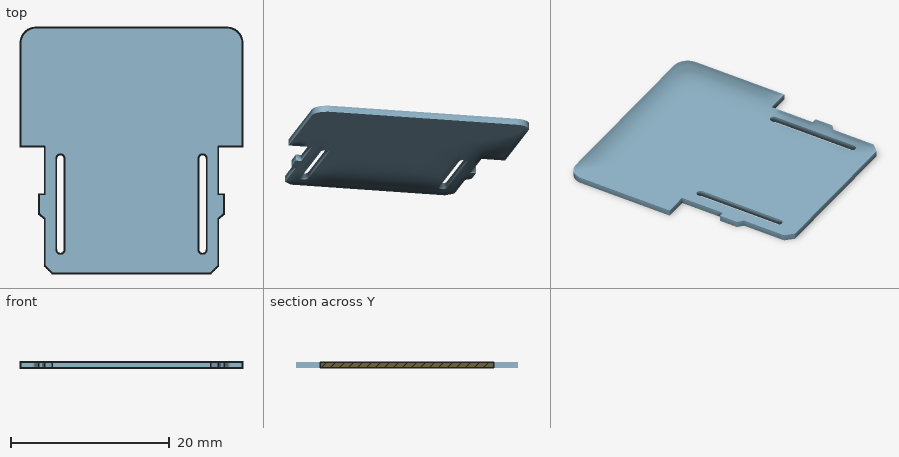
import cadquery as cq

thickness = 0.8
total_length = 31.0

head_width = 28.0
head_length = 15.0
head_corner_radius = 2.0

tongue_width = 21.9
tongue_tip_chamfer = 1.0

catch_projection = 0.7
catch_shoulder_y = 10.0
catch_flat_length = 2.5
catch_ramp_length = 0.6

slot_width = 1.0
slot_spacing = 17.9
slot_start_y = 2.5
slot_end_y = 15.0

shoulder_y = total_length - head_length


def make_head():
    head = cq.Workplane("XY").box(head_width, head_length, thickness, centered=(True, False, False))
    head = head.translate((0, shoulder_y, 0))
    return head.edges("|Z and >Y").fillet(head_corner_radius)


def make_tongue():
    tongue = cq.Workplane("XY").box(tongue_width, shoulder_y, thickness, centered=(True, False, False))
    return tongue.edges("|Z and <Y").chamfer(tongue_tip_chamfer)


def make_catches():
    """Both catches as one bar across the tongue, with a ramp at each end."""
    tongue_x = tongue_width / 2
    catch_x = tongue_x + catch_projection
    flat_end_y = catch_shoulder_y - catch_flat_length
    ramp_end_y = flat_end_y - catch_ramp_length
    outline = [
        (-catch_x, catch_shoulder_y),
        (-catch_x, flat_end_y),
        (-tongue_x, ramp_end_y),
        (tongue_x, ramp_end_y),
        (catch_x, flat_end_y),
        (catch_x, catch_shoulder_y),
    ]
    return cq.Workplane("XY").polyline(outline).close().extrude(thickness)


def make_slots():
    slot_length = slot_end_y - slot_start_y
    slot_mid_y = (slot_start_y + slot_end_y) / 2
    centers = [(side * slot_spacing / 2, slot_mid_y) for side in (-1, 1)]
    return cq.Workplane("XY").pushPoints(centers).slot2D(slot_length, slot_width, 90).extrude(thickness)


result = make_head().union(make_tongue()).union(make_catches()).cut(make_slots()).clean()